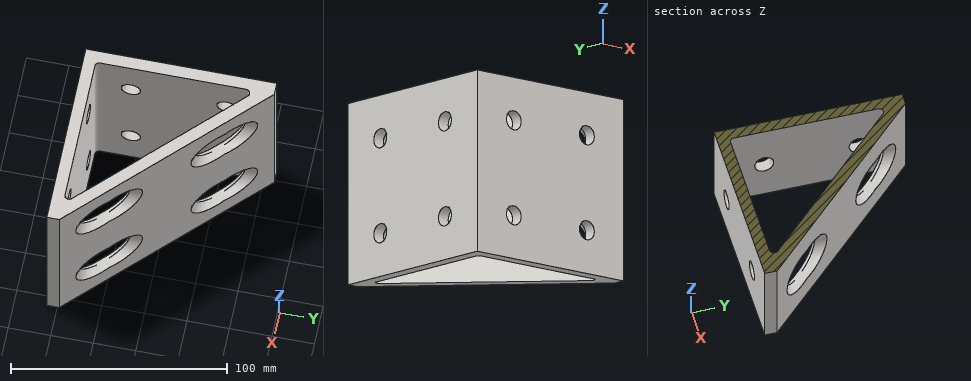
import cadquery as cq
import math

LEG = 90.0
HEIGHT = 86.0
WALL = 6.0
CORNER_RADIUS = 2.0
BOLT_DIAMETER = 9.0
ACCESS_DIAMETER = 20.0
BOLT_SPACING = 45.0

BOLT_PLACES = (LEG / 2 - BOLT_SPACING / 2, LEG / 2 + BOLT_SPACING / 2)
BOLT_HEIGHTS = (HEIGHT / 2 - BOLT_SPACING / 2, HEIGHT / 2 + BOLT_SPACING / 2)
BOLT_POINTS = [(place, height) for place in BOLT_PLACES for height in BOLT_HEIGHTS]

INNER_REACH = LEG - WALL * math.sqrt(2)


def make_outer_block():
    outline = [(0, 0), (LEG, 0), (LEG, WALL), (WALL, LEG), (0, LEG)]
    return cq.Workplane("XY").polyline(outline).close().extrude(HEIGHT)


def make_opening():
    outline = [(WALL, WALL), (INNER_REACH, WALL), (WALL, INNER_REACH)]
    prism = cq.Workplane("XY").polyline(outline).close().extrude(HEIGHT)
    return prism.edges("|Z").fillet(CORNER_RADIUS)


def make_hole_set(plane, inward):
    """Bolt holes through one wall and the larger access holes beyond it through the brace.

    `inward` is +1 or -1, the sign of the plane normal that points into the part.
    """
    wall_face = cq.Workplane(plane).pushPoints(BOLT_POINTS)
    bolt_holes = wall_face.circle(BOLT_DIAMETER / 2).extrude(inward * WALL)
    opening_side = cq.Workplane(plane).workplane(offset=inward * WALL).pushPoints(BOLT_POINTS)
    access_holes = opening_side.circle(ACCESS_DIAMETER / 2).extrude(inward * LEG)
    return bolt_holes.union(access_holes)


bracket = make_outer_block().cut(make_opening())
bracket = bracket.cut(make_hole_set("XZ", -1))
result = bracket.cut(make_hole_set("YZ", 1))